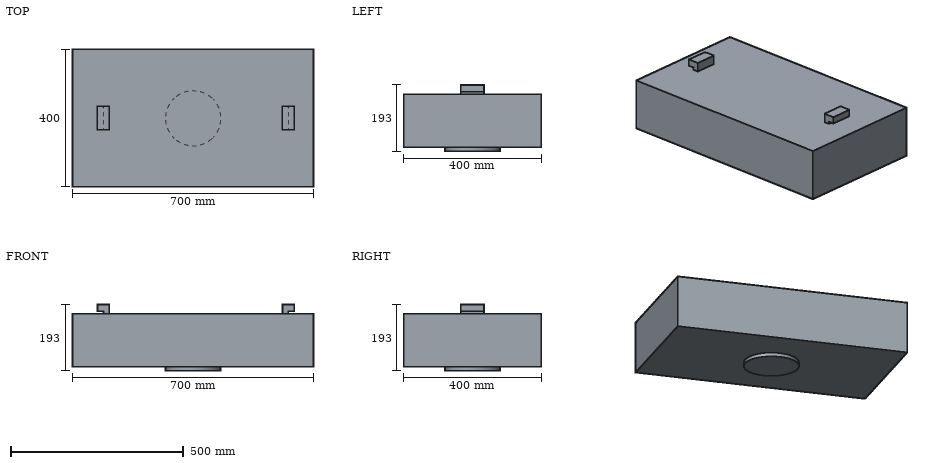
import cadquery as cq

length = 700.0
width = 400.0
body_height = 155.0

boss_diameter = 160.0
boss_height = 11.0

hook_width = 68.5
hook_length = 35.0
hook_height = 27.0
stem_length = 17.5
lip_thickness = 20.0
hook_inner_faces = {-1: -242.0, 1: 260.0}


def make_hook(inner_x, outward):
    """L-shaped hook: a stem on the block with a lip overhanging outwards."""
    stem_x = inner_x + outward * stem_length
    tip_x = inner_x + outward * hook_length
    top_z = body_height + hook_height
    lip_z = top_z - lip_thickness
    profile = [
        (inner_x, body_height),
        (stem_x, body_height),
        (stem_x, lip_z),
        (tip_x, lip_z),
        (tip_x, top_z),
        (inner_x, top_z),
    ]
    return cq.Workplane("XZ").polyline(profile).close().extrude(hook_width / 2, both=True)


body = cq.Workplane("XY").box(length, width, body_height, centered=(True, True, False))
boss = cq.Workplane("XY").circle(boss_diameter / 2).extrude(-boss_height)

result = body.union(boss)
for outward, inner_x in hook_inner_faces.items():
    result = result.union(make_hook(inner_x, outward))